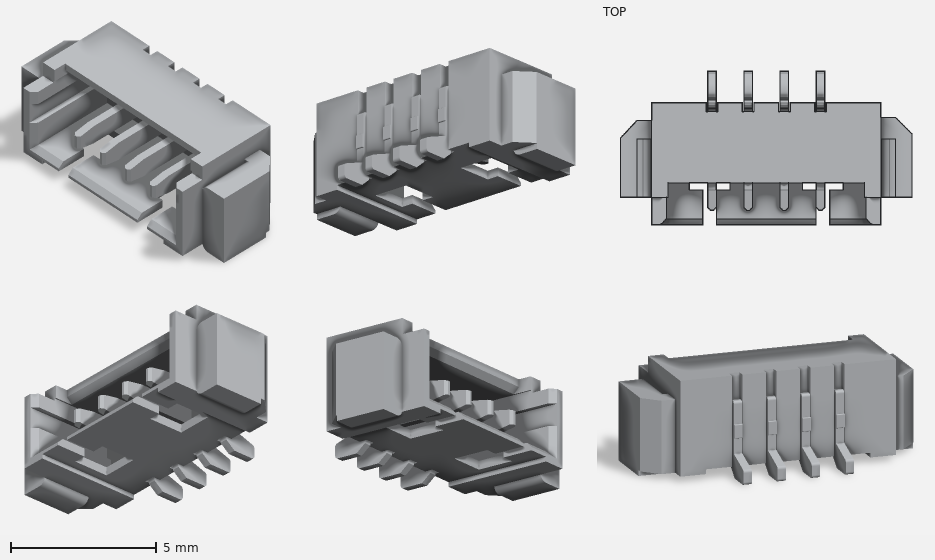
import cadquery as cq


LENGTH = 10.05
BODY_HALF = 3.95
BODY_DEPTH = 4.21
BODY_BOTTOM = 0.21
BODY_TOP = 3.65
SHOULDER_Z = 3.06
SHOULDER_Y = 0.94
UNDERCUT_HALF = 3.02
UNDERCUT_TOP = 0.38

CAVITY_HALF = 3.44
CAVITY_FLOOR = 0.7
CAVITY_CEILING = 3.15
CAVITY_BACK = 3.52
MOUTH_HALF = 3.64
MOUTH_FLOOR = 0.5
FLARE_DEPTH = 0.21
GROOVE_BOTTOM = 1.69
GROOVE_TOP = 2.51

ROOF_NOTCH_HALF = 3.38
ROOF_NOTCH_BACK = 1.45
LIP_BEVEL = 0.22

OPENING_X = 1.95
SLOT_WIDTH = 0.47
WINDOW_WIDTH = 1.4
WINDOW_FRONT = 1.21
WINDOW_BACK = 2.62

PIN_COUNT = 4
PIN_PITCH = 1.25
PIN_WIDTH = 0.3
BLADE_BOTTOM = 1.22
BLADE_TOP = 1.97
BLADE_TIP_Y = 0.5
TIP_TAPER_LENGTH = 0.7
TIP_TAPER_DROP = 0.12
TIP_CORNER = 0.1
LEG_FRONT = 4.01
LEG_BACK = 4.3
LEG_TOP = 2.74
LEG_TOP_RADIUS = 0.1
LEG_BLADE_FILLET = 0.12
LEG_BOTTOM = 0.3
BUMP_BOTTOM = 1.42
BUMP_TOP = 1.92
BUMP_HEIGHT = 0.06
BUMP_RADIUS = 0.03
TAIL_END = 5.3
TAIL_TOP_START = 0.86
TAIL_TOP_END = 0.52
TAIL_FOOT_START = 4.38
TAIL_RADIUS = 0.11
PIN_NOTCH_WIDTH = 0.39
PIN_NOTCH_FRONT = 3.9

EAR_TOP = 2.84
EAR_BEVEL_X = 0.57
LEFT_EAR_BACK = 3.6
LEFT_EAR_BEVEL_Y = 0.61
RIGHT_EAR_BACK = 3.7
RIGHT_EAR_BEVEL_Y = 0.57
CLIP_BACK = 2.95
CLIP_HOOK_REACH = 4.44
CLIP_THICKNESS = 0.21
CLIP_HOOK_THICKNESS = 0.18
CLIP_OUTER_RADIUS = 0.29
CLIP_INNER_RADIUS = CLIP_OUTER_RADIUS - CLIP_THICKNESS

EAR_HALF = LENGTH / 2
PIN_XS = [(i - (PIN_COUNT - 1) / 2) * PIN_PITCH for i in range(PIN_COUNT)]


def block(x_min, x_max, y_min, y_max, z_min, z_max):
    size = (x_max - x_min, y_max - y_min, z_max - z_min)
    return cq.Workplane("XY").box(*size, centered=False).translate((x_min, y_min, z_min))


def centred_block(x_centre, width, y_min, y_max, z_min, z_max):
    return block(x_centre - width / 2, x_centre + width / 2, y_min, y_max, z_min, z_max)


def mirrored(shape, side):
    """A right-hand shape as it is, or its left-hand mirror image when side is negative."""
    return shape if side > 0 else shape.mirror("YZ")


def shell_block():
    """Outer block with lowered front side walls and a channel under the floor."""
    body = centred_block(0, 2 * BODY_HALF, 0, BODY_DEPTH, BODY_BOTTOM, BODY_TOP)
    front_step = centred_block(0, 2 * BODY_HALF, 0, SHOULDER_Y, SHOULDER_Z, BODY_TOP)
    undercut = centred_block(0, 2 * UNDERCUT_HALF, 0, BODY_DEPTH, BODY_BOTTOM, UNDERCUT_TOP)
    return body.cut(front_step).cut(undercut)


def cavity():
    """Mouth cavity with its key grooves and the flare at the front."""
    room = centred_block(0, 2 * CAVITY_HALF, 0, CAVITY_BACK, CAVITY_FLOOR, CAVITY_CEILING)
    grooves = centred_block(0, 2 * MOUTH_HALF, 0, CAVITY_BACK, GROOVE_BOTTOM, GROOVE_TOP)
    flare = (
        cq.Workplane("XZ")
        .moveTo(-MOUTH_HALF, MOUTH_FLOOR)
        .lineTo(MOUTH_HALF, MOUTH_FLOOR)
        .lineTo(MOUTH_HALF, CAVITY_CEILING)
        .lineTo(-MOUTH_HALF, CAVITY_CEILING)
        .close()
        .workplane(offset=-FLARE_DEPTH)
        .moveTo(-CAVITY_HALF, CAVITY_FLOOR)
        .lineTo(CAVITY_HALF, CAVITY_FLOOR)
        .lineTo(CAVITY_HALF, CAVITY_CEILING)
        .lineTo(-CAVITY_HALF, CAVITY_CEILING)
        .close()
        .loft(ruled=True)
    )
    return room.union(grooves).union(flare)


def roof_notch():
    """Notch that sets the roof back between its corners, with the bevel of its lower lip."""
    lip_back = ROOF_NOTCH_BACK + LIP_BEVEL
    return (
        cq.Workplane("YZ", origin=(-ROOF_NOTCH_HALF, 0, 0))
        .moveTo(0, CAVITY_CEILING)
        .lineTo(lip_back, CAVITY_CEILING)
        .lineTo(ROOF_NOTCH_BACK, CAVITY_CEILING + LIP_BEVEL)
        .lineTo(ROOF_NOTCH_BACK, BODY_TOP)
        .lineTo(0, BODY_TOP)
        .close()
        .extrude(2 * ROOF_NOTCH_HALF)
    )


def floor_opening(x_centre):
    """Slot from the front edge of the floor into a wider window."""
    slot = centred_block(x_centre, SLOT_WIDTH, 0, WINDOW_FRONT, UNDERCUT_TOP, CAVITY_FLOOR)
    window = centred_block(
        x_centre, WINDOW_WIDTH, WINDOW_FRONT, WINDOW_BACK, UNDERCUT_TOP, CAVITY_FLOOR
    )
    return slot.union(window)


def ear(side, back, bevel_y):
    """Side ear with a bevelled rear corner, cut out for the solder clip."""
    body = (
        cq.Workplane("XY", origin=(0, 0, BODY_BOTTOM))
        .moveTo(BODY_HALF, SHOULDER_Y)
        .lineTo(EAR_HALF, SHOULDER_Y)
        .lineTo(EAR_HALF, back - bevel_y)
        .lineTo(EAR_HALF - EAR_BEVEL_X, back)
        .lineTo(BODY_HALF, back)
        .close()
        .extrude(EAR_TOP - BODY_BOTTOM)
    )
    upper_bend = block(
        BODY_HALF,
        BODY_HALF + CLIP_OUTER_RADIUS,
        SHOULDER_Y,
        CLIP_BACK,
        EAR_TOP - CLIP_HOOK_THICKNESS,
        EAR_TOP,
    )
    lower_bend = block(
        BODY_HALF, BODY_HALF + CLIP_THICKNESS, SHOULDER_Y, CLIP_BACK, 0, CLIP_OUTER_RADIUS
    )
    body = body.cut(clip(1)).cut(upper_bend).cut(lower_bend)
    return mirrored(body, side)


def pin(x_centre):
    """Pin with a tapered contact blade, an upright leg and a sloping solder tail."""
    blade = (
        cq.Workplane("YZ", origin=(x_centre - PIN_WIDTH / 2, 0, 0))
        .moveTo(BLADE_TIP_Y, BLADE_BOTTOM + TIP_TAPER_DROP)
        .lineTo(BLADE_TIP_Y + TIP_TAPER_LENGTH, BLADE_BOTTOM)
        .lineTo(LEG_FRONT, BLADE_BOTTOM)
        .lineTo(LEG_FRONT, BLADE_TOP)
        .lineTo(BLADE_TIP_Y + TIP_TAPER_LENGTH, BLADE_TOP)
        .lineTo(BLADE_TIP_Y, BLADE_TOP - TIP_TAPER_DROP)
        .close()
        .extrude(PIN_WIDTH)
        .faces("<Y")
        .edges("|Z")
        .chamfer(TIP_CORNER)
    )
    leg = (
        cq.Workplane("YZ", origin=(x_centre - PIN_WIDTH / 2, 0, 0))
        .moveTo(LEG_FRONT, LEG_BOTTOM)
        .lineTo(TAIL_FOOT_START, 0)
        .lineTo(TAIL_END, 0)
        .lineTo(TAIL_END, TAIL_TOP_END)
        .lineTo(LEG_BACK, TAIL_TOP_START)
        .lineTo(LEG_BACK, LEG_TOP)
        .lineTo(LEG_FRONT, LEG_TOP)
        .close()
        .extrude(PIN_WIDTH)
    )
    leg = leg.faces(">Z").edges("|X").fillet(LEG_TOP_RADIUS)
    leg = leg.faces(">Y").edges("|X").fillet(TAIL_RADIUS)
    bump = (
        centred_block(
            x_centre, PIN_WIDTH, LEG_FRONT, LEG_BACK + BUMP_HEIGHT, BUMP_BOTTOM, BUMP_TOP
        )
        .faces(">Y")
        .edges("|X")
        .fillet(BUMP_RADIUS)
    )
    corner_fillet = (
        cq.Workplane("YZ", origin=(x_centre - PIN_WIDTH / 2, 0, 0))
        .moveTo(LEG_FRONT, BLADE_TOP)
        .lineTo(LEG_FRONT, BLADE_TOP + LEG_BLADE_FILLET)
        .radiusArc((LEG_FRONT - LEG_BLADE_FILLET, BLADE_TOP), LEG_BLADE_FILLET)
        .close()
        .extrude(PIN_WIDTH)
    )
    return blade.union(leg).union(bump).union(corner_fillet)


def clip(side):
    """Solder clip: a bent strip with a top hook, an upright web and a bottom foot."""
    strip = (
        cq.Workplane("XZ", origin=(0, SHOULDER_Y, 0))
        .moveTo(CLIP_HOOK_REACH, EAR_TOP)
        .lineTo(BODY_HALF, EAR_TOP)
        .lineTo(BODY_HALF, 0)
        .lineTo(EAR_HALF, 0)
        .lineTo(EAR_HALF, CLIP_THICKNESS)
        .lineTo(BODY_HALF + CLIP_THICKNESS, CLIP_THICKNESS)
        .lineTo(BODY_HALF + CLIP_THICKNESS, EAR_TOP - CLIP_HOOK_THICKNESS)
        .lineTo(CLIP_HOOK_REACH, EAR_TOP - CLIP_HOOK_THICKNESS)
        .close()
        .extrude(SHOULDER_Y - CLIP_BACK)
    )
    strip = strip.faces("<X").edges("|Y").fillet(CLIP_OUTER_RADIUS)
    inner_face = cq.selectors.NearestToPointSelector(
        (BODY_HALF + CLIP_THICKNESS, (SHOULDER_Y + CLIP_BACK) / 2, EAR_TOP / 2)
    )
    strip = strip.faces(inner_face).edges("|Y").fillet(CLIP_INNER_RADIUS)
    return mirrored(strip, side)


def build_housing():
    """Housing with its moulded-in pins, as one solid."""
    housing = shell_block().cut(cavity()).cut(roof_notch())
    for x_centre in (-OPENING_X, OPENING_X):
        housing = housing.cut(floor_opening(x_centre))
    for x_centre in PIN_XS:
        housing = housing.cut(
            centred_block(
                x_centre, PIN_NOTCH_WIDTH, PIN_NOTCH_FRONT, BODY_DEPTH, UNDERCUT_TOP, BODY_TOP
            )
        )
    housing = housing.union(ear(-1, LEFT_EAR_BACK, LEFT_EAR_BEVEL_Y))
    housing = housing.union(ear(1, RIGHT_EAR_BACK, RIGHT_EAR_BEVEL_Y))
    for x_centre in PIN_XS:
        housing = housing.union(pin(x_centre))
    return housing


housing = build_housing()
clips = [clip(side) for side in (-1, 1)]

result = cq.Compound.makeCompound([housing.val(), *[piece.val() for piece in clips]])